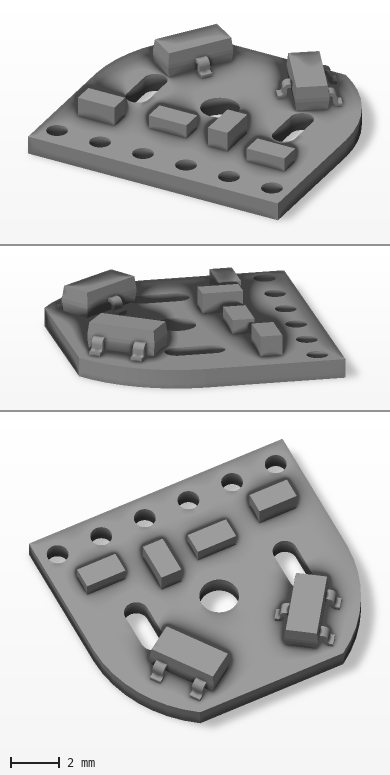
import cadquery as cq
import math


board_width = 11.6
board_depth = 10.6
board_thickness = 0.8
shoulder_y = 5.9
shoulder_radius = board_width / 2
back_edge_width = 6.54

center_y = 5.8
center_hole_diameter = 1.62
slot_width = 1.01
slot_length = 2.53
slot_x = 3.4
slot_y = 5.78
pin_count = 6
pin_pitch = 2.0
pin_hole_diameter = 0.89
pin_y = 1.0

tall_chip = (1.7, 0.9, 0.88)
low_chip = (1.75, 0.93, 0.63)
chips = (
    (tall_chip, -3.93, 2.88, 0),
    (low_chip, -0.88, 3.38, 0),
    (tall_chip, 1.52, 3.62, 90),
    (low_chip, 3.93, 2.88, 0),
)

package_x = 2.67
package_y = 8.45
package_angle = 55.0
body_length = 2.97
body_width = 1.4
body_bottom = 0.1
body_top = 1.2
draft_inset_top = 0.06
draft_inset_bottom = 0.05

lead_thickness = 0.16
lead_width = 0.49
lead_pitch = 1.83
lead_top = 0.67
lead_reach = 0.58
lead_flat = 0.1
bend_inner = 0.09
bend_outer = bend_inner + lead_thickness
lead_embed = 0.12
cos_45 = math.cos(math.radians(45))


def make_board():
    half_width = board_width / 2
    half_back = back_edge_width / 2
    board = (
        cq.Workplane("XY")
        .moveTo(-half_width, 0)
        .lineTo(half_width, 0)
        .lineTo(half_width, shoulder_y)
        .radiusArc((half_back, board_depth), -shoulder_radius)
        .lineTo(-half_back, board_depth)
        .radiusArc((-half_width, shoulder_y), -shoulder_radius)
        .close()
        .extrude(board_thickness)
    )
    center_hole = cq.Workplane("XY").center(0, center_y).circle(center_hole_diameter / 2)
    slots = (
        cq.Workplane("XY")
        .pushPoints([(-slot_x, slot_y), (slot_x, slot_y)])
        .slot2D(slot_length, slot_width, 90)
    )
    pin_holes = (
        cq.Workplane("XY")
        .center(0, pin_y)
        .rarray(pin_pitch, 0.12, pin_count, 1)
        .circle(pin_hole_diameter / 2)
    )
    for opening in (center_hole, slots, pin_holes):
        board = board.cut(opening.extrude(board_thickness))
    return board


def make_chip(length, width, height):
    """Plain block resting on Z = 0, long side along X."""
    return cq.Workplane("XY").box(length, width, height, centered=(True, True, False))


def drafted_block(start_z, height, inset):
    """Block from start_z with the package's full outline, narrowing by inset at the far end."""
    return (
        cq.Workplane("XY")
        .workplane(offset=start_z)
        .rect(body_length, body_width)
        .workplane(offset=height)
        .rect(body_length - 2 * inset, body_width - 2 * inset)
        .loft(ruled=True)
    )


def make_lead():
    """Gull-wing lead leaving the package side towards +Y, centred on X = 0."""
    root_y = body_width / 2 - lead_embed
    bend_y = body_width / 2 + lead_flat
    toe_y = body_width / 2 + lead_reach
    inner_y = bend_y + bend_inner
    outer_y = bend_y + bend_outer
    heel_y = outer_y + bend_inner
    upper_z = lead_top - bend_outer
    lower_z = bend_outer
    inner_45 = bend_inner * cos_45
    outer_45 = bend_outer * cos_45
    return (
        cq.Workplane("YZ")
        .moveTo(root_y, lead_top)
        .lineTo(bend_y, lead_top)
        .threePointArc((bend_y + outer_45, upper_z + outer_45), (outer_y, upper_z))
        .lineTo(outer_y, lower_z)
        .threePointArc((heel_y - inner_45, lower_z - inner_45), (heel_y, lead_thickness))
        .lineTo(toe_y, lead_thickness)
        .lineTo(toe_y, 0)
        .lineTo(heel_y, 0)
        .threePointArc((heel_y - outer_45, lower_z - outer_45), (inner_y, lower_z))
        .lineTo(inner_y, upper_z)
        .threePointArc((bend_y + inner_45, upper_z + inner_45), (bend_y, lead_top - lead_thickness))
        .lineTo(root_y, lead_top - lead_thickness)
        .close()
        .extrude(lead_width / 2, both=True)
    )


def make_package():
    """Package resting on Z = 0, long side along X, two leads on +Y and one on -Y."""
    band_bottom = lead_top - lead_thickness
    band = cq.Workplane("XY").workplane(offset=band_bottom).rect(body_length, body_width)
    package = (
        band.extrude(lead_thickness)
        .union(drafted_block(lead_top, body_top - lead_top, draft_inset_top))
        .union(drafted_block(band_bottom, body_bottom - band_bottom, draft_inset_bottom))
    )
    lead = make_lead()
    for x in (-lead_pitch / 2, lead_pitch / 2):
        package = package.union(lead.translate((x, 0, 0)))
    return package.union(lead.rotate((0, 0, 0), (0, 0, 1), 180))


result = make_board()

for size, chip_x, chip_y, turn in chips:
    placed_chip = make_chip(*size).rotate((0, 0, 0), (0, 0, 1), turn)
    result = result.union(placed_chip.translate((chip_x, chip_y, board_thickness)))

left_package = (
    make_package()
    .rotate((0, 0, 0), (0, 0, 1), package_angle)
    .translate((-package_x, package_y, board_thickness))
)
result = result.union(left_package).union(left_package.mirror("YZ"))